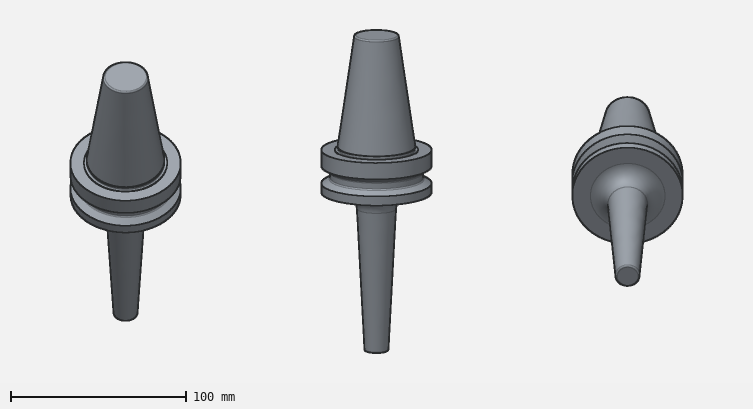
import cadquery as cq
import math


gauge_radius = 44.45 / 2
shank_length = 65.4
taper_slope = 3.5 / 24
shank_top_fillet = 1.0

shank_band_height = 0.5
relief_radius = 43.5 / 2
relief_groove_radius = 1.0

flange_radius = 63.0 / 2
flange_top_z = -2.0
flange_bottom_z = -27.0

groove_center_z = -16.6
groove_width = 10.0
groove_floor_radius = 53.25 / 2
groove_wall_angle = math.radians(30)
groove_floor_fillet = 1.0

nose_tip_z = -120.0
nose_tip_radius = 13.8 / 2
nose_half_angle = math.radians(3)
nose_root_fillet = 10.0
nose_tip_fillet = 1.0


def revolve_profile(points):
    """Revolve a closed outline of (radius, height) points around the Z axis."""
    return cq.Workplane("XZ").polyline(points).close().revolve(360, (0, 0), (0, 1))


def make_shank():
    top_radius = gauge_radius - shank_length * taper_slope
    shank = revolve_profile([
        (0, flange_top_z),
        (relief_radius, flange_top_z),
        (relief_radius, -shank_band_height),
        (gauge_radius, -shank_band_height),
        (gauge_radius, 0),
        (top_radius, shank_length),
        (0, shank_length),
    ])
    return shank.faces(">Z").edges().fillet(shank_top_fillet)


def make_flange():
    return (
        cq.Workplane("XY", origin=(0, 0, flange_bottom_z))
        .circle(flange_radius)
        .extrude(flange_top_z - flange_bottom_z)
    )


def make_relief_groove_cutter():
    """Half-round groove in the flange top, made of two quarter arcs, around the relief neck."""
    center_radius = relief_radius + relief_groove_radius
    outer_radius = center_radius + relief_groove_radius
    bottom = (center_radius, flange_top_z - relief_groove_radius)
    diagonal = relief_groove_radius * math.sqrt(0.5)
    inner_mid = (center_radius - diagonal, flange_top_z - diagonal)
    outer_mid = (center_radius + diagonal, flange_top_z - diagonal)
    return (
        cq.Workplane("XZ")
        .moveTo(relief_radius, flange_top_z)
        .threePointArc(inner_mid, bottom)
        .threePointArc(outer_mid, (outer_radius, flange_top_z))
        .close()
        .revolve(360, (0, 0), (0, 1))
    )


def make_groove_cutter():
    wall_drop = (flange_radius - groove_floor_radius) * math.tan(groove_wall_angle)
    half_mouth = groove_width / 2
    half_floor = half_mouth - wall_drop
    cutter = revolve_profile([
        (groove_floor_radius, groove_center_z - half_floor),
        (flange_radius, groove_center_z - half_mouth),
        (flange_radius, groove_center_z + half_mouth),
        (groove_floor_radius, groove_center_z + half_floor),
    ])
    floor_edges = cq.selectors.RadiusNthSelector(0)
    return cutter.edges("%CIRCLE").edges(floor_edges).fillet(groove_floor_fillet)


def make_nose():
    slope = math.tan(nose_half_angle)
    fillet_center_z = flange_bottom_z - nose_root_fillet
    fillet_center_radius = (
        nose_tip_radius
        + (fillet_center_z - nose_tip_z) * slope
        + nose_root_fillet / math.cos(nose_half_angle)
    )

    def fillet_point(angle):
        """Point on the root fillet, with the angle measured upward from the inward direction."""
        return (
            fillet_center_radius - nose_root_fillet * math.cos(angle),
            fillet_center_z + nose_root_fillet * math.sin(angle),
        )

    cone_tangent_angle = nose_half_angle
    flange_tangent_angle = math.pi / 2
    mid_angle = (cone_tangent_angle + flange_tangent_angle) / 2
    nose = (
        cq.Workplane("XZ")
        .moveTo(0, nose_tip_z)
        .lineTo(nose_tip_radius, nose_tip_z)
        .lineTo(*fillet_point(cone_tangent_angle))
        .threePointArc(fillet_point(mid_angle), fillet_point(flange_tangent_angle))
        .lineTo(0, flange_bottom_z)
        .close()
        .revolve(360, (0, 0), (0, 1))
    )
    return nose.faces("<Z").edges().fillet(nose_tip_fillet)


flange = make_flange().cut(make_groove_cutter()).cut(make_relief_groove_cutter())
result = flange.union(make_shank()).union(make_nose())